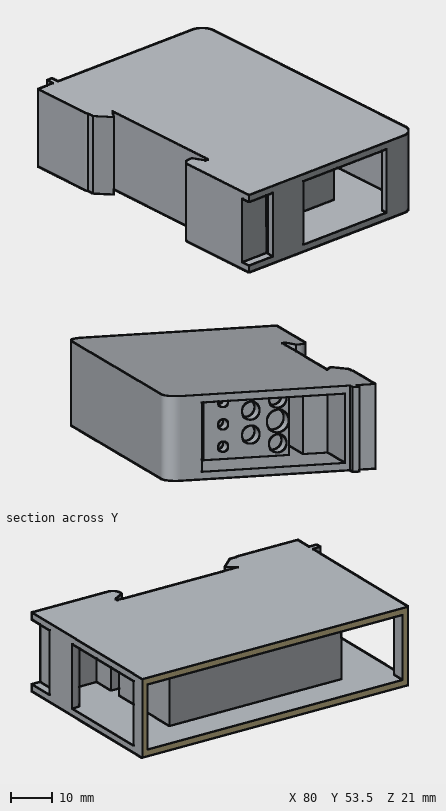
import cadquery as cq
import math

LENGTH = 80.0
DEPTH = 53.5
THICKNESS = 21.0
BACK_CORNER_RADIUS = 3.6

TAB_REACH = 2.25
TAB_FRONT = 4.9
TAB_BACK = 6.6

CHANNEL_DEPTH = 5.5
LEFT_FOOT_FLAT_END = 19.6
FOOT_STEP_START = 20.5
FOOT_STEP_HEIGHT = 0.25
LEFT_FOOT_SLOPE_START = 22.3
LEFT_FOOT_TIP_X = 26.1
LEFT_FOOT_TIP_Y = 3.7
LEFT_CHANNEL_END = 23.4
RIGHT_CHANNEL_END = 58.7
RIGHT_HOOK_ROOT_Y = 4.65
RIGHT_FOOT_X = 55.6
RIGHT_HOOK_TIP_Y = 3.05
RIGHT_FOOT_RADIUS = 1.9

LID_THICKNESS = 1.9
WALL = 1.7
OPENING_FRONT = 7.8
OPENING_BACK = 44.3
NOTCH_LEFT = 77.55

BLOCK_LEFT = 16.0
BLOCK_FRONT = 17.6
BLOCK_BACK = 39.45
BASE_BACK = 14.0

BAR_LEFT = 77.4
BAR_RADIUS = 1.1

HOLE_DEPTH = 4.0
OUTER_HOLE_OFFSET = 5.5
MIDDLE_HOLE_OFFSET = 3.0
ENTRY_ROW_Y = 34.4
MIDDLE_ROW_Y = 27.4
FRONT_ROW_Y = 20.5
ENTRY_HOLE_RADIUS = 1.3
SCREW_HOLE_RADIUS = 2.25
CENTRE_HOLE_RADIUS = 2.8

MIDDLE_Z = THICKNESS / 2
INNER_HEIGHT = THICKNESS - 2 * LID_THICKNESS
BLOCK_RIGHT = LENGTH + TAB_REACH - BLOCK_LEFT


def inner_box(left, right, front, back):
    """Box between the two lids."""
    return (
        cq.Workplane("XY", origin=(0, 0, LID_THICKNESS))
        .moveTo(left, front)
        .lineTo(right, front)
        .lineTo(right, back)
        .lineTo(left, back)
        .close()
        .extrude(INNER_HEIGHT)
    )


def make_body():
    """Full-thickness outline with the clip tab and the two rail feet."""
    arc_shift = RIGHT_FOOT_RADIUS * (1 - math.sqrt(0.5))
    outline = (
        cq.Workplane("XY")
        .moveTo(TAB_REACH, 0)
        .lineTo(LEFT_FOOT_FLAT_END, 0)
        .tangentArcPoint((FOOT_STEP_START, FOOT_STEP_HEIGHT), relative=False)
        .lineTo(LEFT_FOOT_SLOPE_START, FOOT_STEP_HEIGHT)
        .lineTo(LEFT_FOOT_TIP_X, LEFT_FOOT_TIP_Y)
        .lineTo(LEFT_CHANNEL_END, CHANNEL_DEPTH)
        .lineTo(RIGHT_CHANNEL_END, CHANNEL_DEPTH)
        .lineTo(RIGHT_CHANNEL_END, RIGHT_HOOK_ROOT_Y)
        .lineTo(RIGHT_FOOT_X, RIGHT_HOOK_TIP_Y)
        .lineTo(RIGHT_FOOT_X, RIGHT_FOOT_RADIUS)
        .threePointArc(
            (RIGHT_FOOT_X + arc_shift, arc_shift),
            (RIGHT_FOOT_X + RIGHT_FOOT_RADIUS, 0),
        )
        .lineTo(LENGTH, 0)
        .lineTo(LENGTH, DEPTH)
        .lineTo(TAB_REACH, DEPTH)
        .lineTo(TAB_REACH, TAB_BACK)
        .lineTo(0, TAB_BACK)
        .lineTo(0, TAB_FRONT)
        .lineTo(TAB_REACH, TAB_FRONT)
        .close()
        .extrude(THICKNESS)
    )
    return outline.faces(">Y").edges("|Z").fillet(BACK_CORNER_RADIUS)


def make_cavity():
    """Inner space with a window on the left and an opening and corner notch on the right."""
    inside = inner_box(TAB_REACH + WALL, LENGTH - WALL, OPENING_FRONT, DEPTH - WALL)
    windows = inner_box(TAB_REACH, LENGTH, OPENING_FRONT, OPENING_BACK)
    notch = inner_box(NOTCH_LEFT, LENGTH, 0, OPENING_BACK)
    return inside.union(windows).union(notch)


def make_holes(row_y, radius, offsets):
    """Blind holes in one row of the left face of the terminal block."""
    centres = [(row_y, MIDDLE_Z + offset) for offset in offsets]
    return (
        cq.Workplane("YZ", origin=(BLOCK_LEFT, 0, 0))
        .pushPoints(centres)
        .circle(radius)
        .extrude(HOLE_DEPTH)
    )


def make_terminal_block():
    """Terminal block with blind holes for wire entries and screws."""
    block = inner_box(BLOCK_LEFT, BLOCK_RIGHT, BLOCK_FRONT, BLOCK_BACK)
    outer_pair = (-OUTER_HOLE_OFFSET, OUTER_HOLE_OFFSET)
    middle_pair = (-MIDDLE_HOLE_OFFSET, MIDDLE_HOLE_OFFSET)
    block = block.cut(make_holes(ENTRY_ROW_Y, ENTRY_HOLE_RADIUS, outer_pair + (0,)))
    block = block.cut(make_holes(MIDDLE_ROW_Y, SCREW_HOLE_RADIUS, middle_pair))
    block = block.cut(make_holes(FRONT_ROW_Y, SCREW_HOLE_RADIUS, outer_pair))
    return block.cut(make_holes(FRONT_ROW_Y, CENTRE_HOLE_RADIUS, (0,)))


base = inner_box(BLOCK_LEFT, BLOCK_RIGHT, OPENING_FRONT, BASE_BACK)
bar = inner_box(BAR_LEFT, LENGTH, OPENING_FRONT, BLOCK_FRONT).edges("|Z and <X").fillet(BAR_RADIUS)

result = make_body().cut(make_cavity()).union(make_terminal_block()).union(base).union(bar)